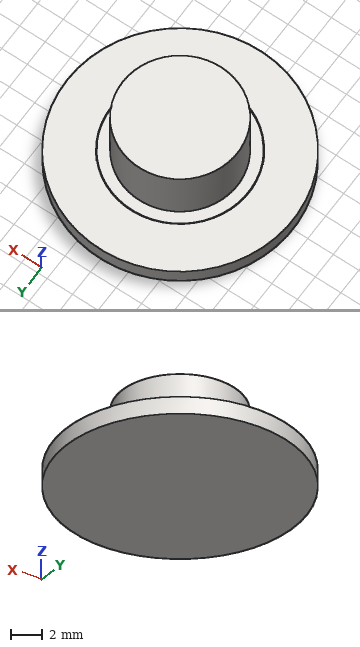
import cadquery as cq

total_height = 5.7
plate_thickness = 1.27

disc_diameter = 17.7
recess_diameter = 10.8
recess_depth = 0.64
recess_floor = plate_thickness - recess_depth

flange_diameter = 10.7
boss_diameter = 9.0
boss_height = total_height - plate_thickness


def make_disc():
    """Round disc with a blind round recess in its top."""
    disc = cq.Workplane("XY").circle(disc_diameter / 2).extrude(plate_thickness)
    recess = (
        cq.Workplane("XY", origin=(0, 0, recess_floor))
        .circle(recess_diameter / 2)
        .extrude(recess_depth)
    )
    return disc.cut(recess)


def make_plug():
    """Round boss on a flange that fills the recess depth, flush with the disc top."""
    flange = (
        cq.Workplane("XY", origin=(0, 0, recess_floor))
        .circle(flange_diameter / 2)
        .extrude(recess_depth)
    )
    boss = (
        cq.Workplane("XY", origin=(0, 0, plate_thickness))
        .circle(boss_diameter / 2)
        .extrude(boss_height)
    )
    return flange.union(boss)


disc = make_disc()
plug = make_plug()

result = cq.Compound.makeCompound([disc.val(), plug.val()])